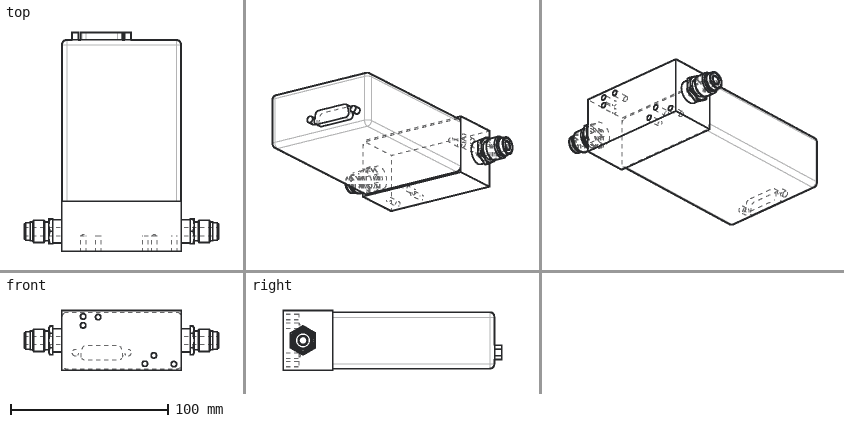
import cadquery as cq
import math

BLOCK_WIDTH = 76.2
BLOCK_DEPTH = 31.75
BLOCK_HEIGHT = 38.1

HOUSING_WIDTH = 75.9
HOUSING_HEIGHT = 36.1
HOUSING_END = 134.43
HOUSING_ROUND = 3.175

OVERALL_DEPTH = 139.19
CONNECTOR_X = -12.7
CONNECTOR_Z = -7.62
SHELL_TOP_WIDTH = 24.0
SHELL_HEIGHT = 9.2
SHELL_SIDE_ANGLE = 12.0
SHELL_ROUND = 2.54
JACKSCREW_SPACING = 33.4
JACKSCREW_DIAMETER = 4.2

OVERALL_WIDTH = 123.67
FITTING_LENGTH = (OVERALL_WIDTH - BLOCK_WIDTH) / 2
FITTING_Y = 12.7
COLLAR_RADIUS = 7.5
COLLAR_LENGTH = 5.45
HEX_ACROSS_FLATS = 15.875
HEX_THICKNESS = 2.6
HEX_CHAMFER_ANGLE = 30.0
NECK_RADIUS = 6.05
THREAD_RADIUS = 7.1
THREAD_START = 10.65
THREAD_END = 18.45
THREAD_CHAMFER_INNER = 0.55
THREAD_CHAMFER_OUTER = 0.9
NECK_END = 19.9
TIP_RADIUS = 5.65
BEAD_RADIUS = 0.95
BEAD_CENTER_RADIUS = 4.05
BORE_RADIUS = 2.6

HOLE_DIAMETER = 3.45
HOLE_DEPTH = 10.0
DRILL_POINT_ANGLE = 118.0
FLAT_HOLES = [(-24.4, 15.2), (-14.83, 14.83), (14.83, -14.83), (33.3, -15.05)]
POINTED_HOLES = [(-24.4, 9.55), (20.57, -9.55)]


def make_block():
    return cq.Workplane("XY").box(
        BLOCK_WIDTH, BLOCK_DEPTH, BLOCK_HEIGHT, centered=(True, False, True)
    )


def make_housing():
    """Box with every edge rounded except those against the block."""
    return (
        cq.Workplane("XY")
        .box(
            HOUSING_WIDTH,
            HOUSING_END - BLOCK_DEPTH,
            HOUSING_HEIGHT,
            centered=(True, False, True),
        )
        .translate((0, BLOCK_DEPTH, 0))
        .edges("|Y or >Y")
        .fillet(HOUSING_ROUND)
    )


def back_plane():
    """Plane at the rear end of the part, centred on the connector, facing -Y."""
    return cq.Workplane("XZ", origin=(CONNECTOR_X, OVERALL_DEPTH, CONNECTOR_Z))


def make_connector():
    """D-shaped shell, wider at the bottom, between two round jackscrews."""
    length = OVERALL_DEPTH - HOUSING_END
    half_height = SHELL_HEIGHT / 2
    half_top = SHELL_TOP_WIDTH / 2
    half_bottom = half_top + SHELL_HEIGHT * math.tan(math.radians(SHELL_SIDE_ANGLE))
    shell = (
        back_plane()
        .polyline([
            (-half_top, half_height),
            (half_top, half_height),
            (half_bottom, -half_height),
            (-half_bottom, -half_height),
        ])
        .close()
        .extrude(length)
        .edges("|Y")
        .fillet(SHELL_ROUND)
    )
    jackscrews = (
        back_plane()
        .pushPoints([(-JACKSCREW_SPACING / 2, 0), (JACKSCREW_SPACING / 2, 0)])
        .circle(JACKSCREW_DIAMETER / 2)
        .extrude(length)
    )
    return shell.union(jackscrews)


def make_hex():
    """Hexagon with corners up and down, its outer face chamfered by a cone."""
    corner_radius = HEX_ACROSS_FLATS / math.sqrt(3)
    flat_radius = HEX_ACROSS_FLATS / 2
    hex_end = COLLAR_LENGTH + HEX_THICKNESS
    chamfer_depth = (corner_radius - flat_radius) * math.tan(math.radians(HEX_CHAMFER_ANGLE))
    prism = (
        cq.Workplane("YZ", origin=(COLLAR_LENGTH, 0, 0))
        .polygon(6, 2 * corner_radius)
        .extrude(HEX_THICKNESS)
        .rotate((0, 0, 0), (1, 0, 0), 90)
    )
    chamfer_envelope = (
        cq.Workplane("XY")
        .moveTo(COLLAR_LENGTH, 0)
        .lineTo(COLLAR_LENGTH, corner_radius)
        .lineTo(hex_end - chamfer_depth, corner_radius)
        .lineTo(hex_end, flat_radius)
        .lineTo(hex_end, 0)
        .close()
        .revolve(360, (0, 0, 0), (1, 0, 0))
    )
    return prism.intersect(chamfer_envelope)


def make_fitting():
    """Fitting along +X with its base at the origin; the bore is left open at the tip."""
    tip_face = FITTING_LENGTH - BEAD_RADIUS
    body = (
        cq.Workplane("XY")
        .moveTo(0, BORE_RADIUS)
        .lineTo(0, COLLAR_RADIUS)
        .lineTo(COLLAR_LENGTH, COLLAR_RADIUS)
        .lineTo(COLLAR_LENGTH, NECK_RADIUS)
        .lineTo(THREAD_START, NECK_RADIUS)
        .lineTo(THREAD_START + THREAD_CHAMFER_INNER, THREAD_RADIUS)
        .lineTo(THREAD_END - THREAD_CHAMFER_OUTER, THREAD_RADIUS)
        .lineTo(THREAD_END, NECK_RADIUS)
        .lineTo(NECK_END, NECK_RADIUS)
        .lineTo(NECK_END, TIP_RADIUS)
        .lineTo(tip_face, TIP_RADIUS)
        .lineTo(tip_face, BEAD_CENTER_RADIUS + BEAD_RADIUS)
        .threePointArc(
            (FITTING_LENGTH, BEAD_CENTER_RADIUS),
            (tip_face, BEAD_CENTER_RADIUS - BEAD_RADIUS),
        )
        .lineTo(tip_face, BORE_RADIUS)
        .close()
        .revolve(360, (0, 0, 0), (1, 0, 0))
    )
    bore = cq.Workplane("YZ").circle(BORE_RADIUS).extrude(FITTING_LENGTH)
    return body.union(make_hex().cut(bore))


def make_holes():
    """Cutters for the front holes; the pointed ones end in a drill cone."""
    radius = HOLE_DIAMETER / 2
    point_length = radius / math.tan(math.radians(DRILL_POINT_ANGLE / 2))
    holes = (
        cq.Workplane("XZ")
        .pushPoints(FLAT_HOLES + POINTED_HOLES)
        .circle(radius)
        .extrude(-HOLE_DEPTH)
    )
    for x, z in POINTED_HOLES:
        point = cq.Solid.makeCone(
            radius, 0, point_length, cq.Vector(x, HOLE_DEPTH, z), cq.Vector(0, 1, 0)
        )
        holes = holes.union(cq.Workplane(obj=point))
    return holes


fitting = make_fitting().translate((BLOCK_WIDTH / 2, FITTING_Y, 0))

result = (
    make_block()
    .union(make_housing())
    .union(make_connector())
    .union(fitting)
    .union(fitting.mirror("YZ"))
    .cut(make_holes())
)